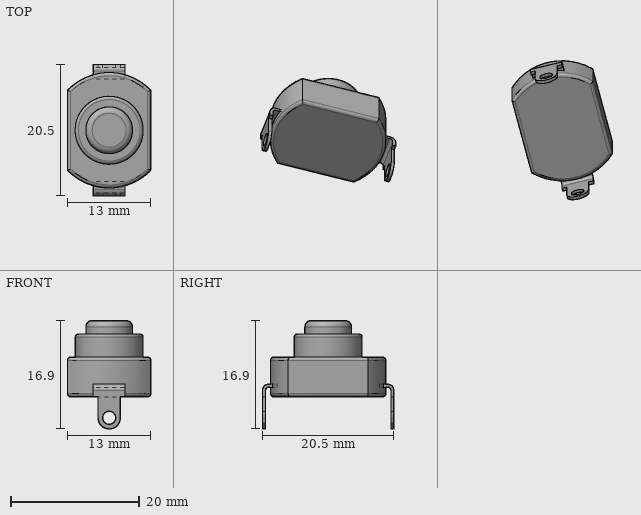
import cadquery as cq
import math

base_diameter = 18.0
base_width = 13.0
base_height = 6.2
collar_diameter = 10.6
collar_height = 3.6
button_diameter = 7.3
button_height = 2.1
edge_radius = 0.5
button_edge_radius = 1.0

strip_thickness = 0.5
bend_outer_radius = 1.0
bend_inner_radius = bend_outer_radius - strip_thickness
terminal_reach = 10.25
terminal_embed = 1.0
terminal_top = 2.0
shoulder_width = 5.0
leg_width = 3.5
eye_diameter = 2.0
leg_bottom = -5.0

base_radius = base_diameter / 2
leg_end_radius = leg_width / 2
eye_z = leg_bottom + leg_end_radius
collar_top = base_height + collar_height


def make_base():
    """Round base cut down to two flat sides, with rounded top and bottom rims."""
    flat_x = base_width / 2
    flat_end_y = math.sqrt(base_radius**2 - flat_x**2)
    return (
        cq.Workplane("XY")
        .moveTo(-flat_x, -flat_end_y)
        .threePointArc((0, -base_radius), (flat_x, -flat_end_y))
        .lineTo(flat_x, flat_end_y)
        .threePointArc((0, base_radius), (-flat_x, flat_end_y))
        .close()
        .extrude(base_height)
        .faces("<Z or >Z")
        .edges()
        .fillet(edge_radius)
    )


def make_post(diameter, bottom, height, rim_radius):
    """Upright cylinder with a rounded top rim."""
    return (
        cq.Workplane("XY")
        .workplane(offset=bottom)
        .circle(diameter / 2)
        .extrude(height)
        .faces(">Z")
        .edges()
        .fillet(rim_radius)
    )


def make_terminal():
    """Terminal on the -Y side, its flat upper end set into the round side of the base."""
    outer_y = -terminal_reach
    inner_y = outer_y + strip_thickness
    bend_y = outer_y + bend_outer_radius
    bend_z = terminal_top - bend_outer_radius
    inside_y = -base_radius + terminal_embed

    strip = (
        cq.Workplane("YZ")
        .moveTo(outer_y, 0)
        .lineTo(outer_y, bend_z)
        .radiusArc((bend_y, terminal_top), bend_outer_radius)
        .lineTo(inside_y, terminal_top)
        .lineTo(inside_y, terminal_top - strip_thickness)
        .lineTo(bend_y, terminal_top - strip_thickness)
        .radiusArc((inner_y, bend_z), -bend_inner_radius)
        .lineTo(inner_y, 0)
        .close()
        .extrude(shoulder_width / 2, both=True)
    )

    leg = (
        cq.Workplane("XZ", origin=(0, inner_y, 0))
        .moveTo(-leg_end_radius, 0)
        .lineTo(-leg_end_radius, eye_z)
        .threePointArc((0, leg_bottom), (leg_end_radius, eye_z))
        .lineTo(leg_end_radius, 0)
        .close()
        .moveTo(0, eye_z)
        .circle(eye_diameter / 2)
        .extrude(strip_thickness)
    )
    return strip.union(leg)


def make_housing(embedded_terminals):
    """Base, collar and button as one body, with a matching slot for each terminal."""
    collar = make_post(collar_diameter, base_height, collar_height, edge_radius)
    button = make_post(button_diameter, collar_top, button_height, button_edge_radius)
    housing_body = make_base().union(collar).union(button)
    for terminal in embedded_terminals:
        housing_body = housing_body.cut(terminal)
    return housing_body


front_terminal = make_terminal()
terminals = [front_terminal.rotate((0, 0, 0), (0, 0, 1), turn) for turn in (0, 180)]
housing = make_housing(terminals)

result = cq.Compound.makeCompound([housing.val(), *[terminal.val() for terminal in terminals]])